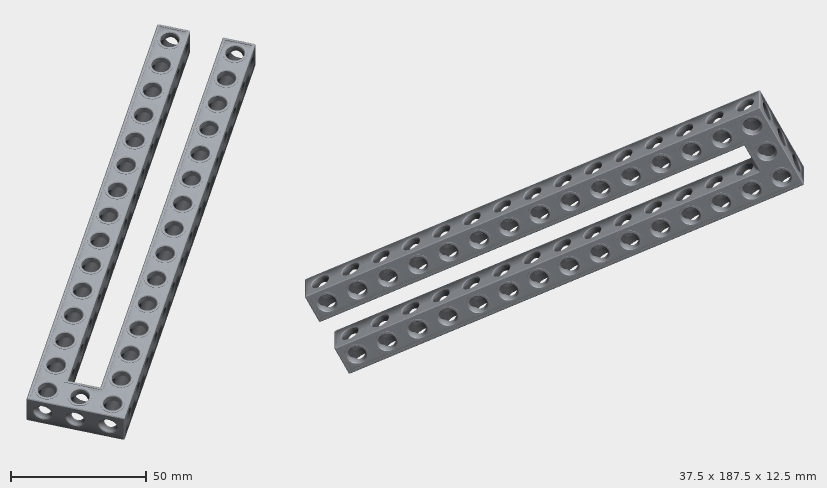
import cadquery as cq

length = 187.5
rows = 15
columns = 3
pitch = length / rows
width = columns * pitch
height = pitch

hole_diameter = 7.0
hole_chamfer = 0.3
edge_chamfer = 0.3
rim_width = 1.1
ring_diameter = 9.2
recess_depth = 0.2

column_places = [(i - (columns - 1) / 2) * pitch for i in range(columns)]
row_places = [(i - (rows - 1) / 2) * pitch for i in range(rows)]
arm_places = [column_places[0], column_places[-1]]
slot_places = column_places[1:-1]
base_place = row_places[0]
upright_centres = [(x, y) for x in arm_places for y in row_places]
upright_centres += [(x, base_place) for x in slot_places]


def make_body():
    """U-shaped bar of square section, open towards +Y, with every outward edge chamfered."""
    block = cq.Workplane("XY").box(width, length, height)
    slot = cq.Workplane("XY").box(pitch, length, height).translate((0, pitch, 0))
    body = block.cut(slot)
    return body.edges("#Z or <Y or >Y").chamfer(edge_chamfer)


def make_recess():
    """Shallow pocket inside a rim that follows the U, leaving a ring around every upright hole."""
    pocket = cq.Workplane("XY").rect(width - 2 * rim_width, length - 2 * rim_width).extrude(recess_depth)
    slot_with_rim = (
        cq.Workplane("XY")
        .center(0, pitch)
        .rect(pitch + 2 * rim_width, length + 2 * rim_width)
        .extrude(recess_depth)
    )
    rings = (
        cq.Workplane("XY")
        .pushPoints(upright_centres)
        .circle(ring_diameter / 2)
        .extrude(recess_depth)
    )
    return pocket.cut(slot_with_rim).cut(rings)


def make_drill(drill_length):
    """Cutter along Z, centred on the origin, that also chamfers both mouths of its hole."""
    radius = hole_diameter / 2
    mouth_radius = radius + hole_chamfer
    half = drill_length / 2
    profile = [
        (0, -half),
        (mouth_radius, -half),
        (radius, hole_chamfer - half),
        (radius, half - hole_chamfer),
        (mouth_radius, half),
        (0, half),
    ]
    return cq.Workplane("XZ").polyline(profile).close().revolve(360, (0, 0), (0, 1)).val()


def place_drills(drill, centres):
    """Copies of a cutter moved to the given (x, y) centres at mid height."""
    return [drill.moved(cq.Location(cq.Vector(x, y, 0))) for x, y in centres]


def drill_along_x(drill_length):
    """Drill laid along X by a quarter turn."""
    return make_drill(drill_length).rotate((0, 0, 0), (0, 1, 0), 90)


def drill_along_y(drill_length):
    """Drill laid along Y by a quarter turn."""
    return make_drill(drill_length).rotate((0, 0, 0), (1, 0, 0), 90)


upright_drills = place_drills(make_drill(height), upright_centres)

base_centres = [(0, base_place)]
arm_centres = [(x, y) for x in arm_places for y in row_places[1:]]
cross_drills = place_drills(drill_along_x(width), base_centres)
cross_drills += place_drills(drill_along_x(pitch), arm_centres)

lengthwise_drills = place_drills(drill_along_y(length), [(x, 0) for x in arm_places])
lengthwise_drills += place_drills(drill_along_y(pitch), [(x, base_place) for x in slot_places])

recess = make_recess()
top_recess = recess.translate((0, 0, height / 2 - recess_depth))
bottom_recess = recess.translate((0, 0, -height / 2))

body = make_body().cut(top_recess).cut(bottom_recess).val()
for drills in (upright_drills, cross_drills, lengthwise_drills):
    body = body.cut(*drills)
result = cq.Workplane("XY").newObject(body.Solids())